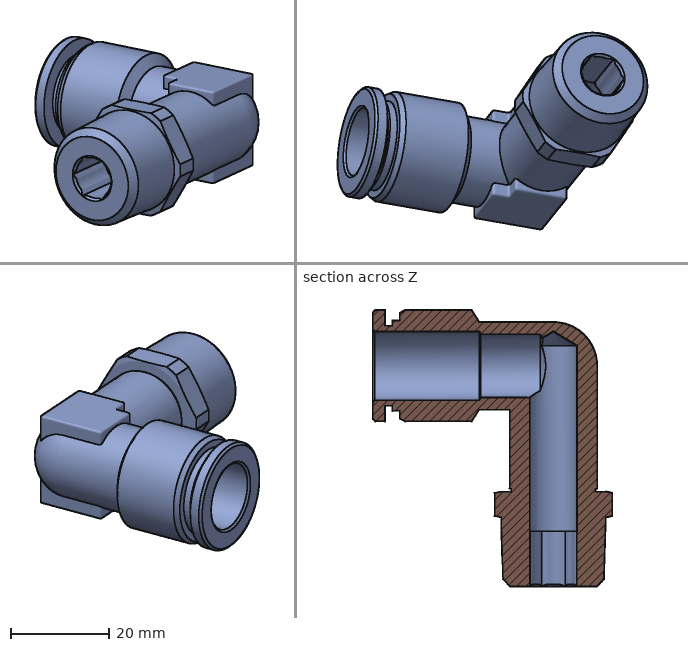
import cadquery as cq
import math


pipe_radius = 8.95
collet_radius = 11.4
groove_radius = 8.2
collar_radius = 9.25
neck_radius = 8.6
thread_start_radius = 10.7
thread_taper = 1 / 16
thread_tip_radius = 8.85

branch_length = 36.8
collet_end = 2.55
groove_end = 3.95
collar_end = 5.45
body_full_start = 6.6
body_full_end = 20.2
body_end = 21.7
collet_chamfer = 0.5
body_chamfer_depth = 0.6

overall_length = 56.4
stem_end = collet_radius - overall_length
thread_chamfer = 1.5
hex_length = 5.3
hex_top = -25.6
neck_length = 0.5
hex_bottom = hex_top - hex_length
neck_top = hex_top + neck_length

hex_across_flats = 22.0
hex_corner_radius = 12.0
hex_face_radius = 10.8
hex_chamfer_length = 0.3

pad_height = 9.85
pad_outer = 5.75
pad_inner = -9.15
pad_notch = -5.5
pad_corner_fillet = 0.55
pad_rim_fillet = 0.5

drill_half_angle = math.radians(59)
tube_bore_radius = 7.0
tube_mouth_radius = 7.45
tube_mouth_depth = 0.45
tube_bore_depth = body_end
branch_bore_radius = 6.4
branch_bore_end = -2.7
stem_bore_radius = 4.8
stem_bore_end = 4.1
socket_across_flats = 8.25
socket_depth = 11.3
socket_mouth_radius = 4.8
socket_pilot_radius = 4.3


def turned_about_x(points):
    """Revolve an (x, radius) outline about the X axis."""
    return cq.Workplane("XY").polyline(points).close().revolve(360, (0, 0), (1, 0))


def turned_about_y(points):
    """Revolve a (radius, y) outline about the Y axis."""
    return cq.Workplane("XY").polyline(points).close().revolve(360, (0, 0), (0, 1))


def hexagonal_bar(across_flats, start, length):
    """Hexagonal bar along +Y from y = start, with two flats square to Z."""
    across_corners = across_flats / math.cos(math.pi / 6)
    plane = cq.Workplane("XZ", origin=(0, start, 0))
    return plane.polygon(6, across_corners).extrude(-length)


def drill_tip_length(radius):
    return radius / math.tan(drill_half_angle)


def make_branch():
    end = -branch_length
    return turned_about_x([
        (end, 0),
        (end, collet_radius - collet_chamfer),
        (end + collet_chamfer, collet_radius),
        (end + collet_end, collet_radius),
        (end + collet_end, groove_radius),
        (end + groove_end, groove_radius),
        (end + groove_end, collar_radius),
        (end + collar_end, collar_radius),
        (end + collar_end, collet_radius - body_chamfer_depth),
        (end + body_full_start, collet_radius),
        (end + body_full_end, collet_radius),
        (end + body_end, pipe_radius),
        (0, pipe_radius),
        (0, 0),
    ])


def make_stem():
    thread_end = stem_end + thread_chamfer
    thread_end_radius = thread_start_radius - (hex_bottom - thread_end) * thread_taper / 2
    return turned_about_y([
        (0, 0),
        (pipe_radius, 0),
        (pipe_radius, neck_top),
        (neck_radius, neck_top),
        (neck_radius, hex_bottom),
        (thread_start_radius, hex_bottom),
        (thread_end_radius, thread_end),
        (thread_tip_radius, stem_end),
        (0, stem_end),
    ])


def make_wrench_hexagon():
    bar = hexagonal_bar(hex_across_flats, hex_bottom, hex_length)
    turned_envelope = turned_about_y([
        (0, hex_bottom),
        (hex_face_radius, hex_bottom),
        (hex_corner_radius, hex_bottom + hex_chamfer_length),
        (hex_corner_radius, hex_top - hex_chamfer_length),
        (hex_face_radius, hex_top),
        (0, hex_top),
    ])
    return bar.intersect(turned_envelope)


def make_corner_pads():
    """Square block notched at the inside of the elbow; its two ends stand out as pads."""
    outline = [
        (pad_outer, pad_outer),
        (pad_inner, pad_outer),
        (pad_inner, pad_notch),
        (pad_notch, pad_notch),
        (pad_notch, pad_inner),
        (pad_outer, pad_inner),
    ]
    block = cq.Workplane("XY").polyline(outline).close().extrude(pad_height, both=True)
    block = block.edges("|Z").fillet(pad_corner_fillet)
    return block.faces("<Z or >Z").edges().fillet(pad_rim_fillet)


def make_branch_bore():
    """Tube bore with a flared mouth and a tapered stop, then a drilled hole."""
    end = -branch_length
    stop = end + tube_bore_depth
    stop_length = drill_tip_length(tube_bore_radius - branch_bore_radius)
    return turned_about_x([
        (end, 0),
        (end, tube_mouth_radius),
        (end + tube_mouth_depth, tube_bore_radius),
        (stop, tube_bore_radius),
        (stop + stop_length, branch_bore_radius),
        (branch_bore_end, branch_bore_radius),
        (branch_bore_end + drill_tip_length(branch_bore_radius), 0),
    ])


def make_stem_bore():
    """Hexagon key socket with a countersunk mouth, opening into a drilled hole."""
    socket = hexagonal_bar(socket_across_flats, stem_end, socket_depth)
    countersink = turned_about_y([
        (0, stem_end),
        (socket_mouth_radius, stem_end),
        (0, stem_end + socket_mouth_radius),
    ])
    pilot = cq.Workplane("XZ", origin=(0, stem_end, 0)).circle(socket_pilot_radius).extrude(-socket_depth)
    drilled_hole = turned_about_y([
        (0, stem_end + socket_depth),
        (stem_bore_radius, stem_end + socket_depth),
        (stem_bore_radius, stem_bore_end),
        (0, stem_bore_end + drill_tip_length(stem_bore_radius)),
    ])
    return socket.union(pilot).union(countersink).union(drilled_hole)


elbow_corner = cq.Workplane("XY").sphere(pipe_radius)
result = (
    make_branch()
    .union(make_stem())
    .union(elbow_corner)
    .union(make_wrench_hexagon())
    .union(make_corner_pads())
    .cut(make_branch_bore())
    .cut(make_stem_bore())
)